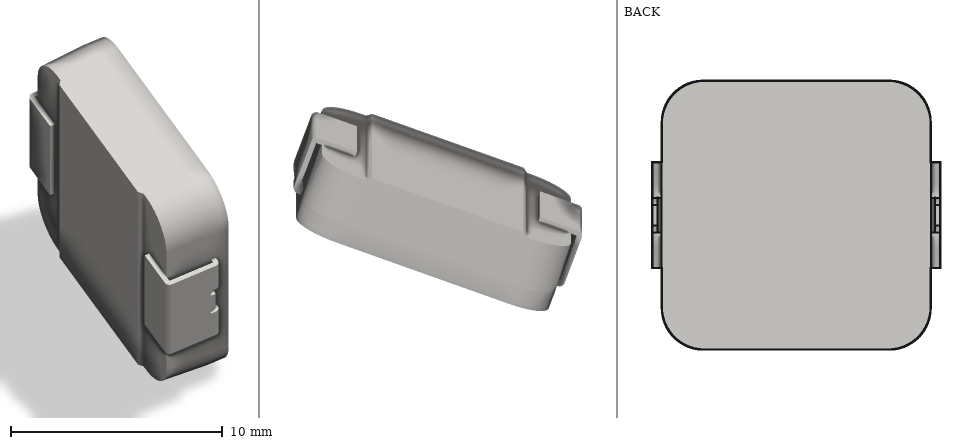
import cadquery as cq
import math

body_size = 12.7
corner_radius = 2.0
back_y = 3.56
parting_y = 2.6
draft_angle = 2.4
pad_y = 0.07
pad_half_width = 3.81
pad_bevel_width = 0.23

terminal_span = 13.6
terminal_height = 5.0
sheet = 0.25
leg_back_y = 2.86
foot_length = 2.2
leg_embed = 0.5

cutout_height = 1.63
tongue_height = 0.97
notch_depth = 0.28
notch_corner_radius = 0.1

shoulder_y = sheet
leg_inner_y = leg_back_y - sheet
outer_x = terminal_span / 2


def rounded_square(size):
    """Rounded-square body outline; every section has the same corner radius."""
    return cq.Sketch().rect(size, size).vertices().fillet(corner_radius)


def make_body():
    """Straight back half and drafted front half, with a raised pad between two shoulders."""
    front_depth = parting_y - pad_y
    front_size = body_size - 2 * front_depth * math.tan(math.radians(draft_angle))
    parting_outline = rounded_square(body_size)
    front_outline = rounded_square(front_size).moved(cq.Location(cq.Vector(0, 0, front_depth)))
    parting_plane = cq.Workplane("XZ", origin=(0, parting_y, 0))
    back = parting_plane.placeSketch(parting_outline).extrude(parting_y - back_y)
    front = parting_plane.placeSketch(parting_outline, front_outline).loft(ruled=True)
    bevel_outer_x = pad_half_width + pad_bevel_width
    right_shoulder = (
        cq.Workplane("XY", origin=(0, 0, -body_size / 2))
        .moveTo(pad_half_width, pad_y)
        .lineTo(bevel_outer_x, shoulder_y)
        .lineTo(outer_x, shoulder_y)
        .lineTo(outer_x, pad_y)
        .close()
        .extrude(body_size)
    )
    left_shoulder = right_shoulder.mirror("YZ")
    return back.union(front).cut(right_shoulder).cut(left_shoulder)


def make_notch(z):
    """Relief notch through the side wall, rounded at its front corners."""
    notch_height = (cutout_height - tongue_height) / 2
    return (
        cq.Workplane("XY")
        .box(sheet, notch_depth, notch_height, centered=(False, False, True))
        .edges("|X and <Y")
        .fillet(notch_corner_radius)
        .translate((outer_x - sheet, leg_inner_y - notch_depth, z))
    )


def make_terminal():
    """C-shaped strip on the +X side: foot, side wall and a split leg entering the body."""
    foot_end_x = outer_x - foot_length
    leg_end_x = body_size / 2 - leg_embed
    inner_x = outer_x - sheet
    bend_mid = sheet * (1 - math.sqrt(0.5))
    strip = (
        cq.Workplane("XY", origin=(0, 0, -terminal_height / 2))
        .moveTo(foot_end_x, 0)
        .lineTo(inner_x, 0)
        .threePointArc((outer_x - bend_mid, bend_mid), (outer_x, sheet))
        .lineTo(outer_x, leg_inner_y)
        .threePointArc((outer_x - bend_mid, leg_back_y - bend_mid), (inner_x, leg_back_y))
        .lineTo(leg_end_x, leg_back_y)
        .lineTo(leg_end_x, leg_inner_y)
        .lineTo(inner_x, leg_inner_y)
        .lineTo(inner_x, sheet)
        .lineTo(foot_end_x, sheet)
        .close()
        .extrude(terminal_height)
    )
    leg_gap = (
        cq.Workplane("XY")
        .box(outer_x - leg_end_x, sheet, cutout_height, centered=(False, False, True))
        .translate((leg_end_x, leg_inner_y, 0))
    )
    strip = strip.cut(leg_gap)
    notch_z = (cutout_height + tongue_height) / 4
    for z in (-notch_z, notch_z):
        strip = strip.cut(make_notch(z))
    return strip


terminal = make_terminal()
result = make_body().union(terminal).union(terminal.mirror("YZ"))